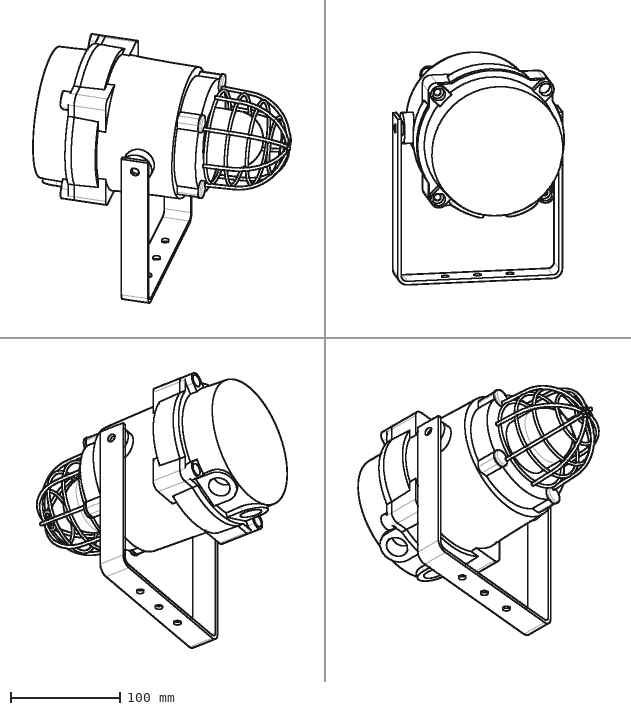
import cadquery as cq
import math


cover_rear_radius = 61.0
cover_front_radius = 62.1
flange_radius = 68.3
flange_rear_x = 32.5
joint_x = 38.3
lug_rear_x = 25.2
lug_offset = 49.7
lug_round = 7.7
lug_half_width = lug_offset + lug_round
entry_angle = 23.5
entry_face_distance = 64.2
entry_pad_radius = 16.22
entry_hole_radius = 10.0
entry_depth = 18.1

head_radius = 5.7
head_depth = 8.5
head_thickness = 2.5
socket_radius = 3.2
socket_depth = 1.4
shank_radius = 2.7
screw_tip_x = 52.2

flange_front_x = 61.0
flange_front_radius = 67.5
lug_front_x = 68.0
barrel_rear_radius = 63.0
barrel_front_radius = 61.0
barrel_front_x = 132.0
neck_radius = 52.8
neck_front_x = 152.2
neck_boss_half_width = 42.53
neck_boss_round = 4.5
pivot_x = 101.2
pivot_boss_radius = 14.3
pivot_boss_y = 70.3
collar_radius = 6.8
collar_y = 72.5

dome_radius = 26.5
dome_centre_x = 174.9

rod_count = 8
rod_radius = 1.5
rod_turn = 4.4
rod_rear_x = 157.5
rod_rear_offset = 45.4
rod_bend_x = 182.5
rod_bend_offset = 44.2
rod_tip_x = 226.8 - rod_radius
rod_tip_offset = 5.5
ring_radius = 1.4
ring_inset = 2.3
ring_stations = [158.8, 178.0, 197.0, 214.0, 222.3]
foot_radius = 8.2
foot_offset = 35.8
foot_thickness = 3.0
foot_round = 1.4

bracket_half_length = 76.78
bracket_thickness = 3.5
bracket_rear_x = 88.2
bracket_front_x = 113.6
bracket_top_z = 11.8
bracket_bottom_z = -145.2
bracket_corner_radius = 9.0
bracket_pivot_hole_radius = 3.9
mounting_hole_radius = 3.5
mounting_hole_pitch = 30.2
mounting_hole_x = (bracket_rear_x + bracket_front_x) / 2

lug_corners = [(y * lug_offset, z * lug_offset) for y in (-1, 1) for z in (-1, 1)]
screw_corners = [(y, z) for y, z in lug_corners if not (y < 0 and z > 0)]


def revolved(profile):
    """Solid of revolution about X from (x, radius) points."""
    return cq.Workplane("XZ").polyline(profile).close().revolve(360, (0, 0), (1, 0))


def rod_along_x(x_start, x_end, radius, y=0, z=0):
    """Cylinder parallel to X."""
    return cq.Workplane("YZ", origin=(x_start, y, z)).circle(radius).extrude(x_end - x_start)


def rounded_square(x_start, x_end, half_width, corner_radius):
    """Square block about the X axis with its four long edges rounded."""
    return (
        cq.Workplane("YZ", origin=(x_start, 0, 0))
        .rect(2 * half_width, 2 * half_width)
        .extrude(x_end - x_start)
        .edges("|X")
        .fillet(corner_radius)
    )


def make_cover():
    body = revolved([
        (0, 0),
        (0, cover_rear_radius),
        (flange_rear_x, cover_front_radius),
        (flange_rear_x, flange_radius),
        (joint_x, flange_radius),
        (joint_x, 0),
    ])
    body = body.union(rounded_square(flange_rear_x, joint_x, lug_half_width, lug_round))

    for y, z in lug_corners:
        reach = math.hypot(y, z)
        lug = (
            cq.Workplane("YZ", origin=(lug_rear_x, 0, 0))
            .center(reach / 2, 0)
            .slot2D(reach + 2 * lug_round, 2 * lug_round)
            .extrude(flange_rear_x - lug_rear_x)
            .rotate((0, 0, 0), (1, 0, 0), math.degrees(math.atan2(z, y)))
        )
        body = body.union(lug)

    for side in (-1, 1):
        tilt = side * entry_angle
        face = cq.Workplane("XY", origin=(0, 0, -entry_face_distance))
        pad = (
            face.moveTo(flange_rear_x, -entry_pad_radius)
            .lineTo(entry_pad_radius, -entry_pad_radius)
            .threePointArc((0, 0), (entry_pad_radius, entry_pad_radius))
            .lineTo(flange_rear_x, entry_pad_radius)
            .close()
            .extrude(entry_depth)
        )
        hole = face.center(entry_pad_radius, 0).circle(entry_hole_radius).extrude(entry_depth)
        body = body.union(pad.rotate((0, 0, 0), (1, 0, 0), tilt))
        body = body.cut(hole.rotate((0, 0, 0), (1, 0, 0), tilt))

    counterbore_end = lug_rear_x + head_depth + head_thickness
    for y, z in lug_corners:
        body = body.cut(rod_along_x(lug_rear_x, counterbore_end, head_radius, y, z))
    for y, z in screw_corners:
        body = body.cut(rod_along_x(lug_rear_x, joint_x, shank_radius, y, z))
    return body


def make_screw(y, z):
    head_rear_x = lug_rear_x + head_depth
    head = rod_along_x(head_rear_x, head_rear_x + head_thickness, head_radius, y, z)
    shank = rod_along_x(head_rear_x, screw_tip_x, shank_radius, y, z)
    socket = rod_along_x(head_rear_x, head_rear_x + socket_depth, socket_radius, y, z)
    return head.union(shank).cut(socket)


def make_housing():
    body = revolved([
        (joint_x, 0),
        (joint_x, flange_radius),
        (flange_front_x, flange_front_radius),
        (flange_front_x, barrel_rear_radius),
        (barrel_front_x, barrel_front_radius),
        (barrel_front_x, neck_radius),
        (neck_front_x, neck_radius),
        (neck_front_x, 0),
    ])
    body = body.union(rounded_square(joint_x, lug_front_x, lug_half_width, lug_round))
    body = body.union(rounded_square(barrel_front_x, neck_front_x, neck_boss_half_width, neck_boss_round))

    pivot_plane = cq.Workplane("XZ", origin=(pivot_x, 0, 0))
    body = body.union(pivot_plane.circle(pivot_boss_radius).extrude(pivot_boss_y, both=True))
    body = body.union(pivot_plane.circle(collar_radius).extrude(collar_y, both=True))

    for y, z in screw_corners:
        body = body.cut(rod_along_x(joint_x, screw_tip_x, shank_radius, y, z))
    return body


def make_dome():
    return (
        cq.Workplane("XZ")
        .moveTo(neck_front_x, 0)
        .lineTo(neck_front_x, dome_radius)
        .lineTo(dome_centre_x, dome_radius)
        .radiusArc((dome_centre_x + dome_radius, 0), dome_radius)
        .close()
        .revolve(360, (0, 0), (1, 0))
    )


rod_slope = (rod_bend_offset - rod_rear_offset) / (rod_bend_x - rod_rear_x)
rod_inward = (rod_slope / math.hypot(1, rod_slope), -1 / math.hypot(1, rod_slope))
tip_dx = rod_tip_x - rod_bend_x
tip_dr = rod_tip_offset - rod_bend_offset
bend_radius = (tip_dx**2 + tip_dr**2) / (2 * (tip_dx * rod_inward[0] + tip_dr * rod_inward[1]))
bend_centre_x = rod_bend_x + bend_radius * rod_inward[0]
bend_centre_offset = rod_bend_offset + bend_radius * rod_inward[1]


def straight_offset(x):
    """Distance from the X axis to the straight of a rod, at x."""
    return rod_rear_offset + rod_slope * (x - rod_rear_x)


def ring_centre_radius(x):
    """Radius of the ring at x that lies just inside the rods."""
    if x < rod_bend_x:
        return straight_offset(x) - ring_inset
    return bend_centre_offset + math.sqrt((bend_radius - ring_inset) ** 2 - (x - bend_centre_x) ** 2)


def make_rod(rear_x):
    """One guard rod in the XZ plane, above the X axis."""
    rear_offset = straight_offset(rear_x)
    path = (
        cq.Workplane("XZ")
        .moveTo(rear_x, rear_offset)
        .lineTo(rod_bend_x, rod_bend_offset)
        .tangentArcPoint((rod_tip_x, rod_tip_offset), relative=False)
    )
    section = cq.Plane(origin=(rear_x, 0, rear_offset), xDir=(0, 1, 0), normal=(1, 0, rod_slope))
    return cq.Workplane(section).circle(rod_radius).sweep(path)


def make_cage():
    foot_front_x = neck_front_x + foot_thickness
    cage = None
    for index in range(rod_count):
        is_diagonal = index % 2 == 1
        rear_x = foot_front_x - foot_thickness / 2 if is_diagonal else rod_rear_x
        turn = rod_turn + index * 360 / rod_count
        rod = make_rod(rear_x).rotate((0, 0, 0), (1, 0, 0), turn)
        cage = rod if cage is None else cage.union(rod)

    for x in ring_stations:
        ring = cq.Solid.makeTorus(ring_centre_radius(x), ring_radius, cq.Vector(x, 0, 0), cq.Vector(1, 0, 0))
        cage = cage.union(cq.Workplane(obj=ring))

    for y in (-foot_offset, foot_offset):
        for z in (-foot_offset, foot_offset):
            foot = rod_along_x(neck_front_x, foot_front_x, foot_radius, y, z)
            cage = cage.union(foot.faces(">X").edges().fillet(foot_round))
    return cage


def make_bracket():
    width = bracket_front_x - bracket_rear_x
    height = bracket_top_z - bracket_bottom_z
    inner_half_length = bracket_half_length - bracket_thickness
    inner_bottom_z = bracket_bottom_z + bracket_thickness
    strap = (
        cq.Workplane("YZ", origin=(bracket_rear_x, 0, bracket_bottom_z + height / 2))
        .rect(2 * bracket_half_length, height)
        .extrude(width)
        .edges("|X and <Z")
        .fillet(bracket_corner_radius)
    )
    opening = (
        cq.Workplane("YZ", origin=(bracket_rear_x, 0, inner_bottom_z + height / 2))
        .rect(2 * inner_half_length, height)
        .extrude(width)
        .edges("|X and <Z")
        .fillet(bracket_corner_radius - bracket_thickness)
    )
    pivot_hole = (
        cq.Workplane("XZ", origin=(pivot_x, 0, 0))
        .circle(bracket_pivot_hole_radius)
        .extrude(bracket_half_length, both=True)
    )
    mounting_holes = (
        cq.Workplane("XY", origin=(mounting_hole_x, 0, bracket_bottom_z))
        .pushPoints([(0, step * mounting_hole_pitch) for step in (-1, 0, 1)])
        .circle(mounting_hole_radius)
        .extrude(bracket_thickness)
    )
    return strap.cut(opening).cut(pivot_hole).cut(mounting_holes)


cover = make_cover()
housing = make_housing()
dome = make_dome()
cage = make_cage()
bracket = make_bracket()
screws = [make_screw(y, z).val() for y, z in screw_corners]

result = cq.Compound.makeCompound([
    cover.val(),
    housing.val(),
    dome.val(),
    cage.val(),
    bracket.val(),
    *screws,
])